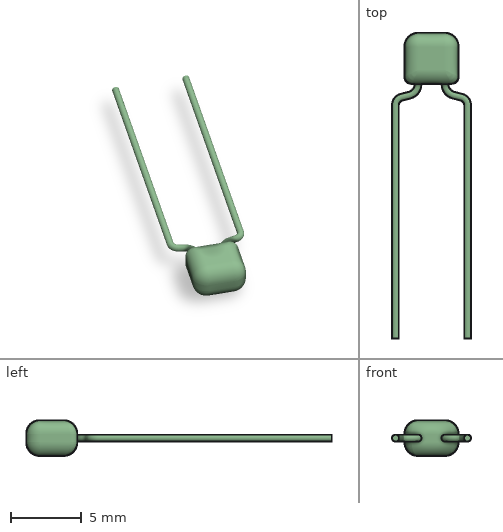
import cadquery as cq
import math

total_length = 21.58
body_width = 3.85
body_depth = 3.63
body_height = 2.55
edge_radius = 1.0
front_corner_radius = 0.52

wire_diameter = 0.5
lead_pitch = 5.1
exit_pitch = 1.9
bend_angle = math.radians(76)
exit_bend_radius = 0.82
outer_bend_radius = 0.58
lead_length = total_length - body_depth


def make_body():
    """Rounded block with large back corners and tighter front corners."""
    block = cq.Workplane("XY").box(
        body_width, body_depth, body_height, centered=(True, False, True)
    )
    block = block.edges("|Z and >Y").fillet(edge_radius)
    block = block.faces("<Z or >Z").edges().fillet(edge_radius)
    return block.edges("|Z and <Y").fillet(front_corner_radius)


def make_lead(side):
    """Round wire with an outward S-bend; side is -1 or +1 along X."""
    sine = math.sin(bend_angle)
    cosine = math.cos(bend_angle)
    exit_x = exit_pitch / 2
    lead_x = lead_pitch / 2
    radius_sum = exit_bend_radius + outer_bend_radius
    slope_length = (lead_x - exit_x - radius_sum * (1 - cosine)) / sine
    bend_end_y = -(radius_sum * sine + slope_length * cosine)

    def arc_offset(radius, angle):
        """Sideways and lengthwise travel of an arc that starts along Y."""
        return radius * (1 - math.cos(angle)), radius * math.sin(angle)

    def exit_point(angle):
        sideways, lengthwise = arc_offset(exit_bend_radius, angle)
        return side * (exit_x + sideways), -lengthwise

    def outer_point(angle):
        sideways, lengthwise = arc_offset(outer_bend_radius, angle)
        return side * (lead_x - sideways), bend_end_y + lengthwise

    path = (
        cq.Workplane("XY")
        .moveTo(side * exit_x, 0)
        .threePointArc(exit_point(bend_angle / 2), exit_point(bend_angle))
        .lineTo(*outer_point(bend_angle))
        .threePointArc(outer_point(bend_angle / 2), (side * lead_x, bend_end_y))
        .lineTo(side * lead_x, -lead_length)
    )
    section = cq.Workplane("XZ").center(side * exit_x, 0).circle(wire_diameter / 2)
    return section.sweep(path)


body = make_body()
leads = [make_lead(side) for side in (-1, 1)]

result = cq.Compound.makeCompound([body.val(), *[lead.val() for lead in leads]])